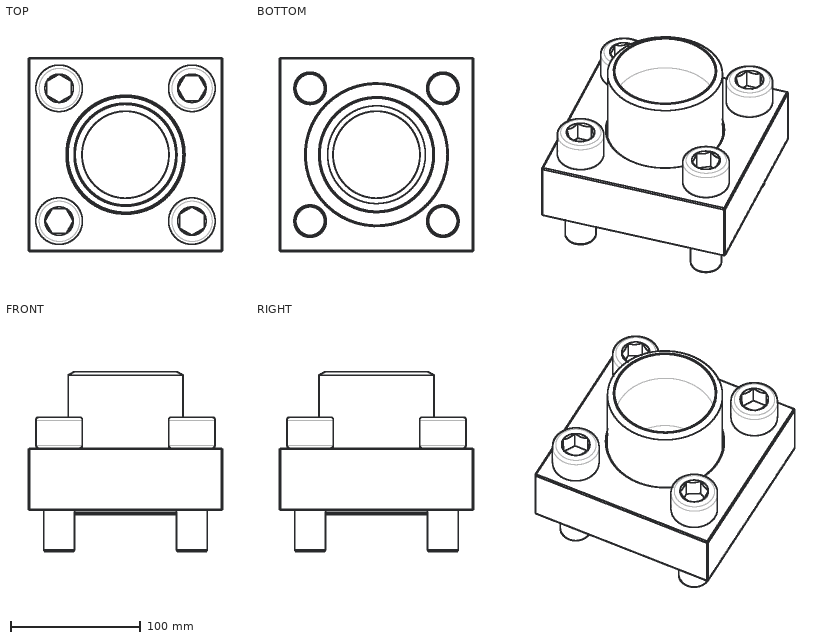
import cadquery as cq
import math

FLANGE_SIDE = 150.0
FLANGE_HEIGHT = 48.0
EDGE_CHAMFER = 1.0
PIPE_HOLE_DIA = 90.0
COUNTERBORE_DIA = 111.0
BOLT_HOLE_DIA = 25.0
BOLT_CIRCLE_DIA = 145.0

PIPE_DIA = 89.0
PIPE_BORE_DIA = 77.7
PIPE_TOP = 107.1
BEVEL_LAND = 1.0
BEVEL_ANGLE = 30.0
COLLAR_DIA = 110.0
COLLAR_HEIGHT = 22.5
COLLAR_PROTRUSION = 2.0
COLLAR_CHAMFER = 0.5
THROAT_DIA = 67.0
THROAT_TOP = 27.0
STRAIGHT_BORE_DEPTH = 29.0

RING_INNER_DIA = 75.6
RING_OUTER_DIA = 87.3
RING_PROTRUSION = 3.3
GROOVE_OUTER_DIA = 89.5

BOLT_COUNT = 4
SHANK_DIA = 24.0
SHANK_LENGTH = 80.0
TIP_CHAMFER_LENGTH = 1.5
TIP_CHAMFER_WIDTH = 1.0
HEAD_DIA = 36.0
HEAD_HEIGHT = 24.0
HEAD_FILLET = 2.4
SOCKET_WIDTH = 19.0
SOCKET_DEPTH = 15.0
COUNTERSINK_ANGLE = 45.0

collar_bottom = -COLLAR_PROTRUSION
collar_top = collar_bottom + COLLAR_HEIGHT
ring_section_dia = (RING_OUTER_DIA - RING_INNER_DIA) / 2
ring_bottom = -RING_PROTRUSION
ring_top = ring_bottom + ring_section_dia


def cylinder(diameter, bottom, top):
    return cq.Workplane("XY").workplane(offset=bottom).circle(diameter / 2).extrude(top - bottom)


def revolved(points):
    """Solid of revolution about Z from (radius, height) points."""
    return cq.Workplane("XZ").polyline(points).close().revolve(360, (0, 0, 0), (0, 1, 0))


def make_flange():
    block = cq.Workplane("XY").box(FLANGE_SIDE, FLANGE_SIDE, FLANGE_HEIGHT, centered=(True, True, False))
    block = block.edges().chamfer(EDGE_CHAMFER)
    block = block.cut(cylinder(COUNTERBORE_DIA, 0, collar_top))

    hole_radius = PIPE_HOLE_DIA / 2
    block = block.cut(
        revolved(
            [
                (0, 0),
                (hole_radius, 0),
                (hole_radius, FLANGE_HEIGHT - EDGE_CHAMFER),
                (hole_radius + EDGE_CHAMFER, FLANGE_HEIGHT),
                (0, FLANGE_HEIGHT),
            ]
        )
    )

    bolt_holes = (
        cq.Workplane("XY")
        .polarArray(BOLT_CIRCLE_DIA / 2, 45, 360, BOLT_COUNT)
        .circle(BOLT_HOLE_DIA / 2)
        .extrude(FLANGE_HEIGHT)
    )
    return block.cut(bolt_holes)


def make_pipe():
    pipe_radius = PIPE_DIA / 2
    bore_radius = PIPE_BORE_DIA / 2
    throat_radius = THROAT_DIA / 2
    collar_radius = COLLAR_DIA / 2
    land_radius = bore_radius + BEVEL_LAND
    bevel_height = (pipe_radius - land_radius) * math.tan(math.radians(BEVEL_ANGLE))

    pipe = revolved(
        [
            (throat_radius, collar_bottom),
            (collar_radius - COLLAR_CHAMFER, collar_bottom),
            (collar_radius, collar_bottom + COLLAR_CHAMFER),
            (collar_radius, collar_top),
            (pipe_radius, collar_top),
            (pipe_radius, PIPE_TOP - bevel_height),
            (land_radius, PIPE_TOP),
            (bore_radius, PIPE_TOP),
            (bore_radius, PIPE_TOP - STRAIGHT_BORE_DEPTH),
            (throat_radius, THROAT_TOP),
        ]
    )

    groove = cylinder(GROOVE_OUTER_DIA, collar_bottom, ring_top)
    groove = groove.cut(cylinder(RING_INNER_DIA, collar_bottom, ring_top))
    return pipe.cut(groove)


def make_sealing_ring():
    section_radius = ring_section_dia / 2
    section_offset = (RING_INNER_DIA + ring_section_dia) / 2
    section = cq.Workplane("XZ").center(section_offset, ring_bottom + section_radius).circle(section_radius)
    return section.revolve(360, (-section_offset, 0, 0), (-section_offset, 1, 0))


def make_bolt():
    """One bolt on the Z axis, its head resting on the flange."""
    head_top = FLANGE_HEIGHT + HEAD_HEIGHT
    head = cylinder(HEAD_DIA, FLANGE_HEIGHT, head_top).edges().fillet(HEAD_FILLET)

    shank_radius = SHANK_DIA / 2
    tip = FLANGE_HEIGHT - SHANK_LENGTH
    shank = revolved(
        [
            (0, tip),
            (shank_radius - TIP_CHAMFER_WIDTH, tip),
            (shank_radius, tip + TIP_CHAMFER_LENGTH),
            (shank_radius, FLANGE_HEIGHT),
            (0, FLANGE_HEIGHT),
        ]
    )

    corner_dia = SOCKET_WIDTH / math.cos(math.radians(30))
    socket = cq.Workplane("XY").workplane(offset=head_top).polygon(6, corner_dia).extrude(-SOCKET_DEPTH)
    corner_radius = corner_dia / 2
    countersink_depth = corner_radius * math.tan(math.radians(COUNTERSINK_ANGLE))
    countersink = revolved(
        [
            (0, head_top - countersink_depth),
            (corner_radius, head_top),
            (0, head_top),
        ]
    )
    return head.union(shank).cut(socket).cut(countersink)


def make_bolts():
    """Bolts turned a quarter turn from one to the next, sockets included."""
    quarter_place = BOLT_CIRCLE_DIA / 2 * math.cos(math.radians(45))
    first_bolt = make_bolt().translate((quarter_place, quarter_place, 0))
    bolts = []
    for index in range(BOLT_COUNT):
        bolts.append(first_bolt.rotate((0, 0, 0), (0, 0, 1), index * 360 / BOLT_COUNT))
    return bolts


flange = make_flange()
pipe = make_pipe()
sealing_ring = make_sealing_ring()
bolts = make_bolts()

result = cq.Compound.makeCompound(
    [flange.val(), pipe.val(), sealing_ring.val(), *[bolt.val() for bolt in bolts]]
)